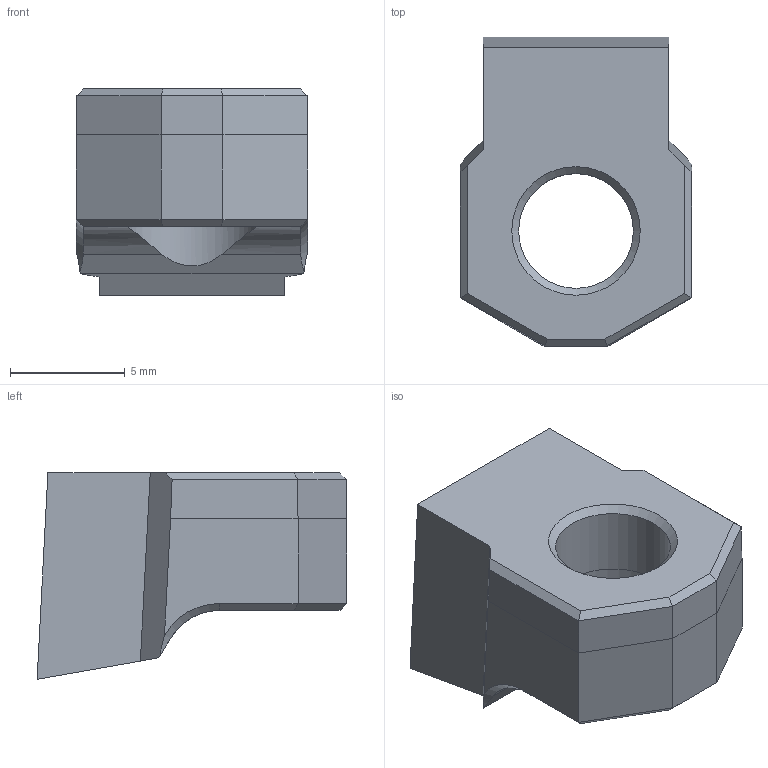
import cadquery as cq
import math

head_height = 6.0
head_half_width = 5.04
front_facet_angle = 30.0
chamfer_size = 0.3

overall_length = 13.5
heel_drop = 3.0
back_lean_angle = 3.0
sole_angle = 10.0
heel_bottom_y = overall_length - head_half_width
ramp_start_y = 0.5
ramp_radius = 2.5
ramp_angle = 59.0

tail_half_width = 4.05
shoulder_y = 3.53

draft_start_z = 4.0
draft_angle = 0.75

hole_radius = 2.5
counterbore_radius = 2.95
counterbore_depth = 2.75

cut_margin = 5.0
edge_tolerance = 0.001

tan_ramp = math.tan(math.radians(ramp_angle))
tan_lean = math.tan(math.radians(back_lean_angle))
heel_top_y = heel_bottom_y - (head_height + heel_drop) * tan_lean
tan_sole = math.tan(math.radians(sole_angle))


def ramp_point(angle):
    """Point (y, z) on the ramp arc after turning by angle from the flat underside."""
    turn = math.radians(angle)
    return (ramp_start_y + ramp_radius * math.sin(turn), -ramp_radius * (1 - math.cos(turn)))


def make_side_block():
    """Side outline, with the heel, extruded across the full width."""
    arc_middle = ramp_point(ramp_angle / 2)
    arc_end = ramp_point(ramp_angle)
    sole_z_at_arc_end = -heel_drop + (heel_bottom_y - arc_end[0]) * tan_sole
    run = (arc_end[1] - sole_z_at_arc_end) / (tan_ramp - tan_sole)
    toe = (arc_end[0] + run, arc_end[1] - run * tan_ramp)
    return (
        cq.Workplane("YZ")
        .moveTo(-head_half_width, head_height)
        .lineTo(-head_half_width, 0)
        .lineTo(ramp_start_y, 0)
        .threePointArc(arc_middle, arc_end)
        .lineTo(*toe)
        .lineTo(heel_bottom_y, -heel_drop)
        .lineTo(heel_top_y, head_height)
        .close()
        .extrude(head_half_width, both=True)
    )


def head_outline(inset):
    """Corner points (x, y) of the head plan; its five flanks touch a circle about the hole."""
    half_width = head_half_width - inset
    angle = math.radians(front_facet_angle)
    facet_side_y = -half_width * (1 - math.sin(angle)) / math.cos(angle)
    facet_front_x = half_width * (1 - math.cos(angle)) / math.sin(angle)
    return [
        (-half_width, heel_bottom_y),
        (-half_width, facet_side_y),
        (-facet_front_x, -half_width),
        (facet_front_x, -half_width),
        (half_width, facet_side_y),
        (half_width, heel_bottom_y),
    ]


def trim_to_head_plan(body):
    """Keep what lies inside the head plan: upright flanks below, drafted flanks on top."""
    draft_rise = head_height - draft_start_z
    draft_inset = draft_rise * math.tan(math.radians(draft_angle))
    upright = (
        cq.Workplane("XY")
        .workplane(offset=-heel_drop)
        .polyline(head_outline(0))
        .close()
        .extrude(draft_start_z + heel_drop)
    )
    drafted = (
        cq.Workplane("XY")
        .workplane(offset=draft_start_z)
        .polyline(head_outline(0))
        .close()
        .workplane(offset=draft_rise)
        .polyline(head_outline(draft_inset))
        .close()
        .loft(ruled=True)
    )
    return body.intersect(upright.union(drafted))


def bevel_top_rim(body):
    """Bevel the rim of the top face, leaving its back edge sharp."""

    def on_rim(edge):
        middle = edge.positionAt(0.5)
        is_back_edge = middle.y > head_half_width
        return middle.z > head_height - edge_tolerance and not is_back_edge

    rim = body.edges().filter(on_rim)
    return body.newObject(rim.vals()).chamfer(chamfer_size)


def bevel_flat_underside(body):
    """Bevel the rim of the flat underside, from the front back to the start of the ramp."""
    width = 2 * head_half_width
    length = head_half_width + ramp_start_y
    slab = cq.Workplane("XY").box(width, length, chamfer_size, centered=(True, False, False))
    slab = slab.translate((0, -head_half_width, 0))
    tapered_head = (
        cq.Workplane("XY")
        .polyline(head_outline(chamfer_size))
        .close()
        .workplane(offset=chamfer_size)
        .polyline(head_outline(0))
        .close()
        .loft(ruled=True)
    )
    return body.cut(slab.cut(tapered_head))


def bevel_ramp_sides(body):
    """Carry the underside bevel around the ramp arc with a cone at each side."""
    inner_x = head_half_width - chamfer_size
    cone = (
        cq.Workplane("YZ", origin=(inner_x, ramp_start_y, -ramp_radius))
        .circle(ramp_radius)
        .workplane(offset=chamfer_size)
        .circle(ramp_radius + chamfer_size)
        .loft(ruled=True)
    )
    return body.cut(cone).cut(cone.mirror("YZ"))


def cut_shoulders(body):
    """Narrow the tail behind 45 degree shoulders that lean with the back face."""
    reach = heel_bottom_y + cut_margin
    step = head_half_width - tail_half_width + cut_margin
    lean = math.radians(back_lean_angle)
    plane = cq.Plane(
        origin=(0, shoulder_y, head_height),
        xDir=(1, 0, 0),
        normal=(0, -math.sin(lean), math.cos(lean)),
    )
    for side in (-1, 1):
        notch = (
            cq.Workplane(plane)
            .moveTo(side * tail_half_width, 0)
            .lineTo(side * (tail_half_width + step), -step)
            .lineTo(side * (tail_half_width + step), reach)
            .lineTo(side * tail_half_width, reach)
            .close()
            .extrude(head_height + heel_drop + cut_margin, both=True)
        )
        body = body.cut(notch)
    return body


def cut_screw_hole(body):
    """Through hole with a bevelled mouth and a counterbore that also clears the ramp."""
    bottom = -heel_drop - cut_margin
    hole = cq.Workplane("XY").workplane(offset=bottom).circle(hole_radius).extrude(head_height - bottom)
    counterbore = (
        cq.Workplane("XY")
        .workplane(offset=bottom)
        .circle(counterbore_radius)
        .extrude(counterbore_depth - bottom)
    )
    mouth = (
        cq.Workplane("XY")
        .workplane(offset=head_height - chamfer_size)
        .circle(hole_radius)
        .workplane(offset=chamfer_size)
        .circle(hole_radius + chamfer_size)
        .loft(ruled=True)
    )
    return body.cut(hole).cut(counterbore).cut(mouth)


body = trim_to_head_plan(make_side_block())
body = bevel_top_rim(body)
body = bevel_flat_underside(body)
body = bevel_ramp_sides(body)
body = cut_shoulders(body)
result = cut_screw_hole(body)